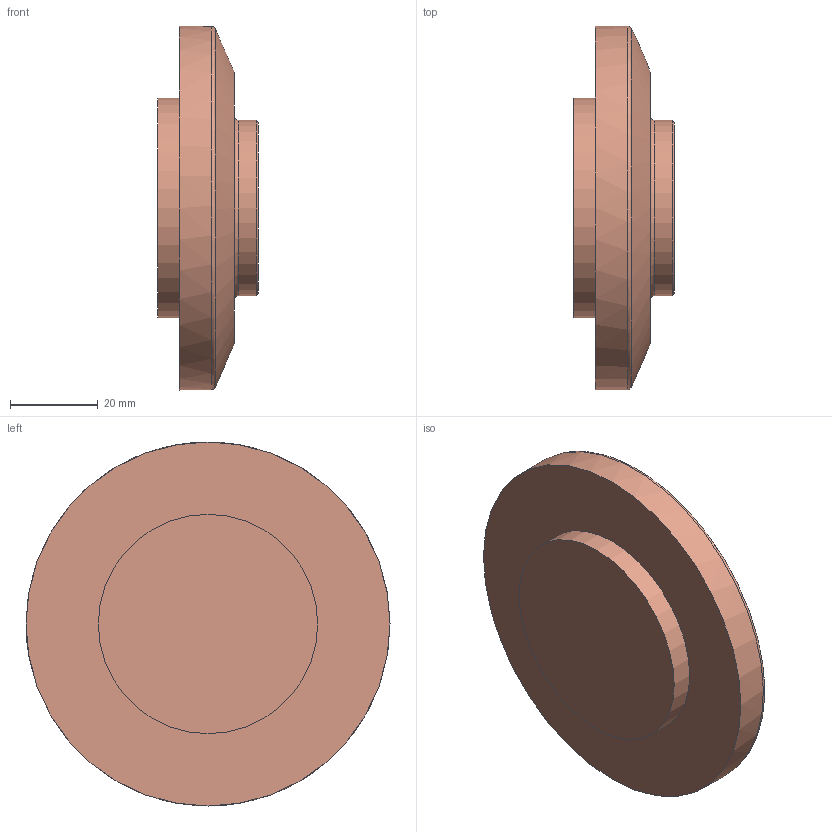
import cadquery as cq
import math


FLANGE_BACK_X = 5.0
FLANGE_FRONT_X = 17.5
OVERALL_LENGTH = 23.0

REAR_BOSS_RADIUS = 25.0
FLANGE_RADIUS = 41.5
HUB_RADIUS = 20.0

DOME_RADIUS = 90.0
DOME_CENTRE_X = OVERALL_LENGTH - DOME_RADIUS

RIM_FILLET = 1.0
HUB_ROOT_FILLET = 1.0
HUB_END_CHAMFER = 0.5

TOLERANCE = 0.001


def dome_x(radius):
    """Station where the dome has the given radius about the axis."""
    return DOME_CENTRE_X + math.sqrt(DOME_RADIUS**2 - radius**2)


def plain_half_section():
    """Half profile in the XY plane with sharp edges; Y is the radius."""
    dome_front_radius = math.sqrt(DOME_RADIUS**2 - (FLANGE_FRONT_X - DOME_CENTRE_X) ** 2)
    dome_middle_radius = (FLANGE_RADIUS + dome_front_radius) / 2

    return (
        cq.Workplane("XY")
        .lineTo(0, REAR_BOSS_RADIUS)
        .lineTo(FLANGE_BACK_X, REAR_BOSS_RADIUS)
        .lineTo(FLANGE_BACK_X, FLANGE_RADIUS)
        .lineTo(dome_x(FLANGE_RADIUS), FLANGE_RADIUS)
        .threePointArc(
            (dome_x(dome_middle_radius), dome_middle_radius),
            (FLANGE_FRONT_X, dome_front_radius),
        )
        .lineTo(FLANGE_FRONT_X, HUB_RADIUS)
        .lineTo(OVERALL_LENGTH, HUB_RADIUS)
        .lineTo(OVERALL_LENGTH, 0)
        .close()
    )


def circle_at(body, x, radius):
    """The circular edge of the given radius at station x."""

    def matches(edge):
        same_station = math.isclose(edge.Center().x, x, abs_tol=TOLERANCE)
        same_radius = math.isclose(edge.radius(), radius, abs_tol=TOLERANCE)
        return same_station and same_radius

    return body.edges("%CIRCLE").filter(matches)


def turned_body():
    return plain_half_section().revolve(360, (0, 0, 0), (1, 0, 0))


def finish_edges(body):
    body = circle_at(body, dome_x(FLANGE_RADIUS), FLANGE_RADIUS).fillet(RIM_FILLET)
    body = circle_at(body, FLANGE_FRONT_X, HUB_RADIUS).fillet(HUB_ROOT_FILLET)
    return body.faces(">X").edges().chamfer(HUB_END_CHAMFER)


result = finish_edges(turned_body())